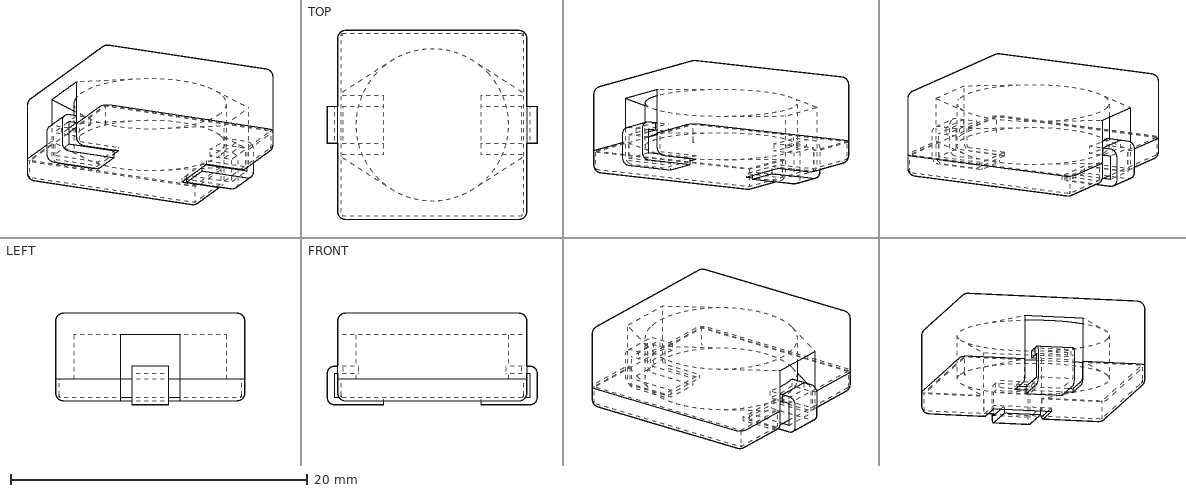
import cadquery as cq
import math

TOTAL_LENGTH = 14.2
CASE_SIDE = 12.8
CASE_BOTTOM = 0.25
CASE_TOP = 6.2
CASE_ROUND = 0.55
SPLIT_HEIGHT = 1.76

COIL_DIAMETER = 10.3
COIL_TOP = 4.74
WINDOW_WIDTH = 4.0

PLATE_SIDE = 12.33
PLATE_ROUND = 0.13

STRIP_THICKNESS = 0.5
STRIP_WIDTH = 2.5
CLIP_HEIGHT = 2.61
CLIP_BEND_RADIUS = STRIP_THICKNESS
FOOT_END = 3.28
LEAD_END = 6.04

SIDES = (-1, 1)
case_half = CASE_SIDE / 2
coil_radius = COIL_DIAMETER / 2
clip_outer = TOTAL_LENGTH / 2
plate_bottom = STRIP_THICKNESS
lead_bottom = CLIP_HEIGHT - STRIP_THICKNESS


def block(x_start, x_end, width, z_start, z_end):
    """Box between two X and two Z positions, centred on Y."""
    box = cq.Workplane("XY").box(abs(x_end - x_start), width, z_end - z_start)
    return box.translate(((x_start + x_end) / 2, 0, (z_start + z_end) / 2))


def make_case():
    """Rounded outer block, before it is divided into cover and base."""
    case = block(-case_half, case_half, CASE_SIDE, CASE_BOTTOM, CASE_TOP)
    return case.edges().fillet(CASE_ROUND)


def make_coil_cylinder():
    plan = cq.Workplane("XY").workplane(offset=SPLIT_HEIGHT).circle(coil_radius)
    return plan.extrude(COIL_TOP - SPLIT_HEIGHT)


def make_flare(side):
    """Window whose side walls spread inward until they touch the coil tangentially."""
    mouth_half = WINDOW_WIDTH / 2
    mouth_distance = math.hypot(case_half, mouth_half)
    tangent_angle = math.atan2(mouth_half, case_half) + math.acos(coil_radius / mouth_distance)
    tangent_x = side * coil_radius * math.cos(tangent_angle)
    tangent_y = coil_radius * math.sin(tangent_angle)
    mouth_x = side * case_half
    outline = [
        (mouth_x, -mouth_half),
        (mouth_x, mouth_half),
        (tangent_x, tangent_y),
        (tangent_x, -tangent_y),
    ]
    plan = cq.Workplane("XY").workplane(offset=SPLIT_HEIGHT).polyline(outline).close()
    return plan.extrude(COIL_TOP - SPLIT_HEIGHT)


def make_cover():
    """Upper case half with the coil cavity and its two flared windows."""
    upper_half = block(-case_half, case_half, CASE_SIDE, SPLIT_HEIGHT, CASE_TOP)
    cover = make_case().intersect(upper_half).cut(make_coil_cylinder())
    for side in SIDES:
        cover = cover.cut(make_flare(side))
    return cover


def make_plate_block():
    """Core plate with its lower edges rounded; also the shape of its recess."""
    plate = block(-PLATE_SIDE / 2, PLATE_SIDE / 2, PLATE_SIDE, plate_bottom, SPLIT_HEIGHT)
    return plate.faces("<Z").edges().fillet(PLATE_ROUND)


def make_core_plate():
    return make_plate_block().faces(">Z").edges().fillet(PLATE_ROUND)


def make_base():
    """Lower case half with the plate recess, wall windows and foot slots."""
    lower_half = block(-case_half, case_half, CASE_SIDE, CASE_BOTTOM, SPLIT_HEIGHT)
    base = make_case().intersect(lower_half).cut(make_plate_block())
    for side in SIDES:
        wall_window = block(side * PLATE_SIDE / 2, side * case_half, WINDOW_WIDTH, CASE_BOTTOM, SPLIT_HEIGHT)
        foot_slot = block(side * FOOT_END, side * case_half, WINDOW_WIDTH, CASE_BOTTOM, plate_bottom)
        rounding_strip = block(
            side * (PLATE_SIDE / 2 - PLATE_ROUND),
            side * PLATE_SIDE / 2,
            WINDOW_WIDTH,
            plate_bottom,
            plate_bottom + PLATE_ROUND,
        ).cut(make_plate_block())
        base = base.cut(wall_window).cut(foot_slot).cut(rounding_strip)
    return base


def make_coil():
    """Coil cylinder with a flat lead toward each terminal clip."""
    coil = make_coil_cylinder()
    for side in SIDES:
        coil = coil.union(block(0, side * LEAD_END, STRIP_WIDTH, lead_bottom, CLIP_HEIGHT))
    return coil


def make_clip(side):
    """C-shaped strip joining the lead end and folding under the base."""
    clip_inner = clip_outer - STRIP_THICKNESS
    outline = [
        (side * LEAD_END, CLIP_HEIGHT),
        (side * clip_outer, CLIP_HEIGHT),
        (side * clip_outer, 0),
        (side * FOOT_END, 0),
        (side * FOOT_END, STRIP_THICKNESS),
        (side * clip_inner, STRIP_THICKNESS),
        (side * clip_inner, lead_bottom),
        (side * LEAD_END, lead_bottom),
    ]
    clip = cq.Workplane("XZ").polyline(outline).close().extrude(STRIP_WIDTH / 2, both=True)
    outer_face = ">X" if side > 0 else "<X"
    return clip.faces(outer_face).edges("|Y").fillet(CLIP_BEND_RADIUS)


cover = make_cover()
base = make_base()
core_plate = make_core_plate()
coil = make_coil()
clips = [make_clip(side).val() for side in SIDES]

result = cq.Compound.makeCompound([cover.val(), base.val(), core_plate.val(), coil.solids().val(), *clips])